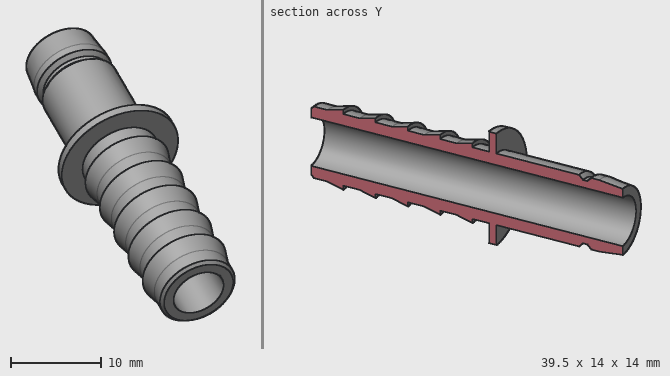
import cadquery as cq

total_length = 39.5
tube_radius = 4.5
bore_radius = 3.0

nose_length = 3.0
nose_drop = 0.35

groove_start = 4.0
groove_end = 5.53
groove_depth = 0.5

flange_start = 16.0
flange_thickness = 1.0
flange_radius = 7.0
flange_end = flange_start + flange_thickness

barb_count = 5
barb_radius = 5.0
barb_length = (total_length - flange_end) / (2 * barb_count + 1)
barb_pitch = 2 * barb_length

tail_chamfer = 0.35


def revolved(outline):
    """Revolve a closed (x, radius) outline about the X axis."""
    return (
        cq.Workplane("XZ")
        .polyline(outline)
        .close()
        .revolve(360, (0, 0, 0), (1, 0, 0))
    )


def make_tube():
    """Plain tube with a tapered nose, a ring groove and a chamfered tail, bore not yet cut."""
    groove_radius = tube_radius - groove_depth
    return revolved([
        (0, 0),
        (0, tube_radius - nose_drop),
        (nose_length, tube_radius),
        (groove_start, tube_radius),
        (groove_start + groove_depth, groove_radius),
        (groove_end - groove_depth, groove_radius),
        (groove_end, tube_radius),
        (total_length - tail_chamfer, tube_radius),
        (total_length, tube_radius - tail_chamfer),
        (total_length, 0),
    ])


def make_flange():
    """Flat stop disc around the tube."""
    return (
        cq.Workplane("YZ", origin=(flange_start, 0, 0))
        .circle(flange_radius)
        .extrude(flange_thickness)
    )


def make_barb(start):
    """Barb with a square shoulder at start, tapering down to the tube towards the tail."""
    end = start + barb_length
    return revolved([(start, 0), (start, barb_radius), (end, tube_radius), (end, 0)])


body = make_tube().union(make_flange())
for index in range(barb_count):
    body = body.union(make_barb(flange_end + barb_length + index * barb_pitch))

bore = cq.Workplane("YZ").circle(bore_radius).extrude(total_length)
result = body.cut(bore)